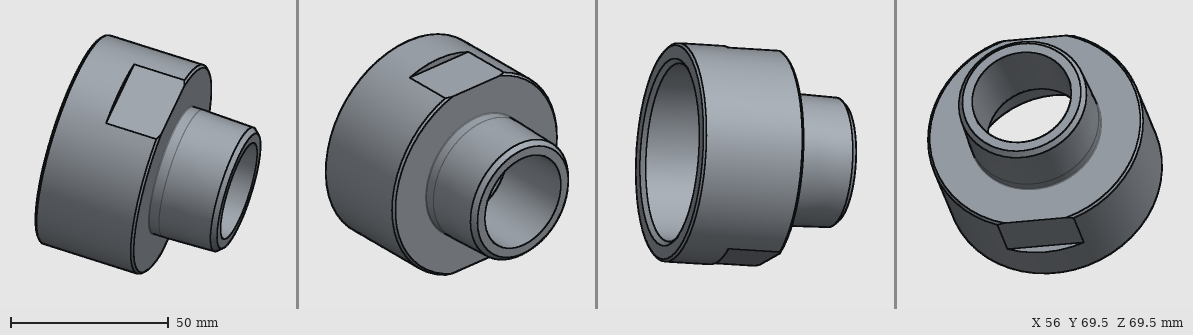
import cadquery as cq

TOTAL_LENGTH = 56.0

COLLAR_DIAMETER = 69.5
COLLAR_LENGTH = 33.5
COLLAR_CHAMFER = 0.75

SPIGOT_DIAMETER = 42.3
SPIGOT_ROOT_FILLET = 0.2
SPIGOT_CYLINDER_END = 37.0
SPIGOT_TAPER = 1 / 16
SPIGOT_CHAMFER_LENGTH = 1.7
SPIGOT_END_DIAMETER = 38.2

SOCKET_DIAMETER = 56.65
SOCKET_DEPTH = 29.55
SOCKET_CHAMFER = 1.45
BORE_DIAMETER = 32.0
BORE_CHAMFER = 0.7

ACROSS_FLATS = 65.0
FLAT_START = 15.65


def turned(outline):
    """Close an outline of (x, radius) points and revolve it about the X axis."""
    return outline.close().revolve(360, (0, 0, 0), (1, 0, 0))


def make_body():
    collar_radius = COLLAR_DIAMETER / 2
    spigot_radius = SPIGOT_DIAMETER / 2
    taper_end = TOTAL_LENGTH - SPIGOT_CHAMFER_LENGTH
    taper_end_radius = spigot_radius - (taper_end - SPIGOT_CYLINDER_END) * SPIGOT_TAPER / 2
    outline = (
        cq.Workplane("XZ")
        .lineTo(0, collar_radius - COLLAR_CHAMFER)
        .lineTo(COLLAR_CHAMFER, collar_radius)
        .lineTo(COLLAR_LENGTH - COLLAR_CHAMFER, collar_radius)
        .lineTo(COLLAR_LENGTH, collar_radius - COLLAR_CHAMFER)
        .lineTo(COLLAR_LENGTH, spigot_radius + SPIGOT_ROOT_FILLET)
        .tangentArcPoint((COLLAR_LENGTH + SPIGOT_ROOT_FILLET, spigot_radius), relative=False)
        .lineTo(SPIGOT_CYLINDER_END, spigot_radius)
        .lineTo(taper_end, taper_end_radius)
        .lineTo(TOTAL_LENGTH, SPIGOT_END_DIAMETER / 2)
        .lineTo(TOTAL_LENGTH, 0)
    )
    return turned(outline)


def make_cavity():
    socket_radius = SOCKET_DIAMETER / 2
    bore_radius = BORE_DIAMETER / 2
    outline = cq.Workplane("XZ").polyline([
        (0, 0),
        (0, socket_radius + SOCKET_CHAMFER),
        (SOCKET_CHAMFER, socket_radius),
        (SOCKET_DEPTH, socket_radius),
        (SOCKET_DEPTH, bore_radius + BORE_CHAMFER),
        (SOCKET_DEPTH + BORE_CHAMFER, bore_radius),
        (TOTAL_LENGTH, bore_radius),
        (TOTAL_LENGTH, 0),
    ])
    return turned(outline)


def make_flat_cutter(side):
    """Block outside one flat; side is +1 for the top and -1 for the bottom."""
    length = COLLAR_LENGTH - FLAT_START
    depth = (COLLAR_DIAMETER - ACROSS_FLATS) / 2
    middle = (FLAT_START + length / 2, 0, side * (ACROSS_FLATS + depth) / 2)
    return cq.Workplane("XY").box(length, COLLAR_DIAMETER, depth).translate(middle)


result = make_body().cut(make_cavity())
for side in (1, -1):
    result = result.cut(make_flat_cutter(side))